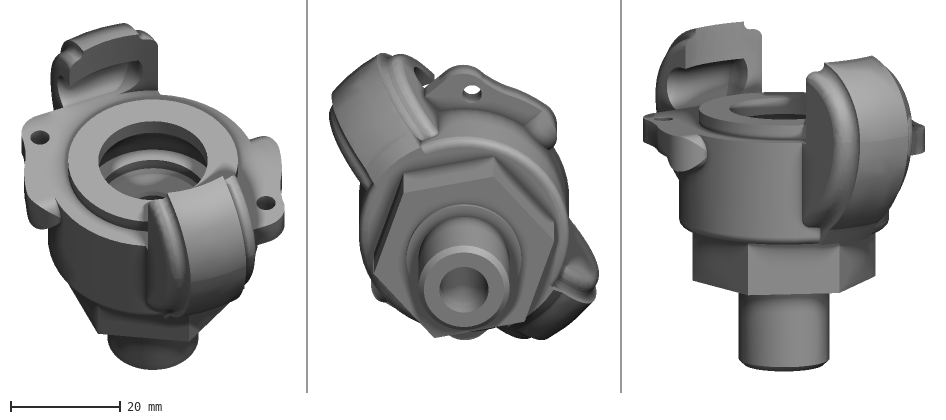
import cadquery as cq
import math

collar_bottom = 15.05
hex_bottom = 15.85
body_bottom = 25.75
body_top = 44.95
ring_top = 47.5

stem_diameter = 16.65
stem_chamfer = 1.0
collar_diameter = 21.0
hex_flats = 29.1
hex_corners = hex_flats / math.cos(math.radians(30))
body_diameter = 38.45
body_fillet = 1.55
ring_diameter = 31.0

hole_diameter = 9.0
hole_chamfer = 0.5
mouth_radius = 20.0 / 2
lip_bottom = 44.45
groove_bulge_radius = 12.25
groove_bulge_height = 40.7
groove_floor_radius = 12.9
groove_floor = 37.0
counterbore_radius = 20.5 / 2
counterbore_bottom = 34.85
floor_chamfer = 0.7

claw_radius = 30.95
claw_mid_height = 46.65
claw_upper_arc = 13.5
claw_lower_arc = 21.65
claw_recess_radius = 20.25
claw_root_radius = 19.4
claw_root_bend = 28.95
claw_width = 17.5
rib_width = 11.0
cheek_drop = 1.5
cheek_fillet = 1.8
rib_fillet = 1.25

channel_radius = 4.15
channel_offset = 19.8
channel_height = body_top + 3.9
channel_top = channel_height + channel_radius
channel_end_radius = 4.95
channel_end_band = 0.5
channel_end_axis = 21.8
channel_end_center = 1.25

lug_bottom = 40.55
lug_side = 21.05
lug_corner_radius = 4.9
lug_corner_end = 13.9
lug_hole_diameter = 3.5
lug_hole_offset = 15.7
lug_span = 47.0
hollow_flank_middle = (-13.0, -19.75)
flank_bend = (-9.7, -21.4)
swelling_flank_middle = (-6.8, -22.6)
tip_radius = 4.95
tip_center = (-2.9, tip_radius - lug_span / 2)
tip_start = -3.95
tip_exit = 2.05
nub_radius = 3.3
nub_offset = 1.25


def cylinder(diameter, bottom, top):
    return cq.Workplane("XY").workplane(offset=bottom).circle(diameter / 2).extrude(top - bottom)


def both_sides(shape):
    """The shape together with its copy turned half a turn about Z."""
    return shape.union(shape.rotate((0, 0, 0), (0, 0, 1), 180))


def make_core():
    stem = cylinder(stem_diameter, 0, body_bottom).faces("<Z").chamfer(stem_chamfer)
    collar = cylinder(collar_diameter, collar_bottom, hex_bottom)
    nut = (
        cq.Workplane("XY")
        .workplane(offset=hex_bottom)
        .polygon(6, hex_corners)
        .extrude(body_bottom - hex_bottom)
    )
    body = cylinder(body_diameter, body_bottom, body_top).faces("<Z").edges().fillet(body_fillet)
    ring = cylinder(ring_diameter, body_top, ring_top)
    return stem.union(collar).union(nut).union(body).union(ring)


def make_bore():
    hole_radius = hole_diameter / 2
    floor_radius = counterbore_radius - floor_chamfer
    floor = counterbore_bottom - floor_chamfer
    return (
        cq.Workplane("XZ")
        .moveTo(0, 0)
        .lineTo(hole_radius, 0)
        .lineTo(hole_radius, floor - hole_chamfer)
        .lineTo(hole_radius + hole_chamfer, floor)
        .lineTo(floor_radius, floor)
        .lineTo(counterbore_radius, counterbore_bottom)
        .lineTo(counterbore_radius, groove_floor)
        .lineTo(groove_floor_radius, groove_floor)
        .threePointArc((groove_bulge_radius, groove_bulge_height), (mouth_radius, lip_bottom))
        .lineTo(mouth_radius, ring_top)
        .lineTo(0, ring_top)
        .close()
        .revolve(360, (0, 0, 0), (0, 1, 0))
    )


def claw_arc_point(radius, center_r, angle):
    """Point of a claw arc; the angle is measured up from the horizontal."""
    turn = math.radians(angle)
    return (center_r + radius * math.cos(turn), claw_mid_height + radius * math.sin(turn))


def claw_radius_at(height, drop):
    """Distance of the claw outline from the Z axis at a height, when lowered by drop."""
    arc = claw_upper_arc if height > claw_mid_height else claw_lower_arc
    rise = height - claw_mid_height
    return claw_radius - arc + math.sqrt((arc - drop) ** 2 - rise**2)


def claw_slab(drop, width, root):
    """Solid of revolution of the claw outline, lowered by drop and sliced to a width along Y."""
    upper = claw_upper_arc - drop
    lower = claw_lower_arc - drop
    upper_center = claw_radius - claw_upper_arc
    lower_center = claw_radius - claw_lower_arc
    lower_end = -math.degrees(math.asin((claw_mid_height - claw_root_bend) / lower))
    profile = (
        cq.Workplane("XZ")
        .moveTo(0, claw_mid_height + upper)
        .lineTo(upper_center, claw_mid_height + upper)
        .threePointArc(
            claw_arc_point(upper, upper_center, 45),
            claw_arc_point(upper, upper_center, 0),
        )
        .threePointArc(
            claw_arc_point(lower, lower_center, lower_end / 2),
            claw_arc_point(lower, lower_center, lower_end),
        )
    )
    for point in root:
        profile = profile.lineTo(*point)
    slab = cq.Workplane("XY").box(4 * claw_radius, width, 4 * claw_radius)
    return profile.close().revolve(360, (0, 0, 0), (0, 1, 0)).intersect(slab)


def is_rib_foot(edge):
    """True for the curved edges where a cheek meets the side of the rib."""
    tolerance = 0.005
    middle = edge.positionAt(0.5)
    if abs(abs(middle.y) - rib_width / 2) > tolerance or middle.z < claw_root_bend:
        return False
    from_axis = math.hypot(middle.x, middle.y)
    return abs(from_axis - claw_radius_at(middle.z, cheek_drop)) < tolerance


def make_claws():
    cheeks = claw_slab(cheek_drop, claw_width, [(0, claw_root_bend)])
    cheeks = cheeks.faces("<Y or >Y").edges("not %LINE").fillet(cheek_fillet)
    rib = claw_slab(0, rib_width, [(claw_root_radius, body_bottom), (0, body_bottom)])
    recess = cylinder(2 * claw_recess_radius, body_top, 2 * body_top)
    claws = cheeks.union(rib)
    rib_feet = [edge for edge in claws.edges("not %LINE").vals() if is_rib_foot(edge)]
    return claws.newObject(rib_feet).fillet(rib_fillet).cut(recess)


def channel_end_profile():
    """Half profile of the ball-like channel end, about the upright axis of the ball."""
    lower_center = body_top + channel_end_radius
    upper_center = lower_center + channel_end_band
    slant = channel_end_radius * math.sqrt(0.5)
    half_rise = (channel_top - upper_center) / 2
    half_reach = math.sqrt(channel_end_radius**2 - half_rise**2)
    top_reach = math.sqrt(channel_end_radius**2 - (2 * half_rise) ** 2)
    return (
        cq.Workplane("YZ", origin=(-channel_end_axis, channel_end_center, 0))
        .moveTo(0, body_top)
        .threePointArc((slant, lower_center - slant), (channel_end_radius, lower_center))
        .lineTo(channel_end_radius, upper_center)
        .threePointArc((half_reach, upper_center + half_rise), (top_reach, channel_top))
        .lineTo(0, channel_top)
        .close()
    )


def make_channel():
    """Channel of the -X claw: open at the -Y cheek and towards the axis, with a ball-like inner end."""
    section = (
        cq.Workplane("XZ", origin=(-channel_offset, claw_width, channel_height))
        .moveTo(0, channel_radius)
        .threePointArc((-channel_radius, 0), (0, -channel_radius))
        .lineTo(channel_offset, -channel_radius)
        .lineTo(channel_offset, channel_radius)
        .close()
        .extrude(2 * claw_width)
    )
    run = (
        cq.Workplane("XY", origin=(-claw_radius, channel_end_center - claw_width, body_top))
        .box(claw_radius, claw_width, channel_top - body_top, centered=False)
    )
    straight_end = channel_end_profile().extrude(channel_end_axis)
    ball_end = channel_end_profile().revolve(360, (0, 0, 0), (0, 1, 0))
    return run.union(straight_end).union(ball_end).intersect(section)


def lug_outline(bottom):
    """Plan of the -Y lug: rounded corner, hollow flank, swelling flank, round tip."""
    corner_center = (-lug_side + lug_corner_radius, -lug_corner_end)
    diagonal = lug_corner_radius * math.sqrt(0.5)
    tip_x, tip_y = tip_center
    start_y = tip_y - math.sqrt(tip_radius**2 - (tip_start - tip_x) ** 2)
    exit_y = tip_y - math.sqrt(tip_radius**2 - (tip_exit - tip_x) ** 2)
    return (
        cq.Workplane("XY")
        .workplane(offset=bottom)
        .moveTo(0, 0)
        .lineTo(-lug_side, 0)
        .lineTo(-lug_side, -lug_corner_end)
        .threePointArc(
            (corner_center[0] - diagonal, corner_center[1] - diagonal),
            (corner_center[0], corner_center[1] - lug_corner_radius),
        )
        .threePointArc(hollow_flank_middle, flank_bend)
        .threePointArc(swelling_flank_middle, (tip_start, start_y))
        .threePointArc(
            (tip_x + tip_radius * math.sin(math.pi / 4), tip_y - tip_radius * math.cos(math.pi / 4)),
            (tip_exit, exit_y),
        )
        .close()
    )


def make_lug():
    """-Y lug: a flat flange that ends in a deeper round nub lying along Y."""
    flange = lug_outline(lug_bottom).extrude(body_top - lug_bottom)
    nub_height = body_top - nub_radius
    tangent = nub_radius * math.sqrt(0.5)
    ramp_rise = lug_bottom - (nub_height - tangent)
    ramp_end = -tangent - ramp_rise
    nub_bar = (
        cq.Workplane("XZ", origin=(-nub_offset, 0, nub_height))
        .moveTo(-tangent, -tangent)
        .threePointArc((tangent, -tangent), (0, nub_radius))
        .lineTo(ramp_end, nub_radius)
        .lineTo(ramp_end, lug_bottom - nub_height)
        .close()
        .extrude(claw_radius)
    )
    nub = lug_outline(nub_height - nub_radius).extrude(2 * nub_radius).intersect(nub_bar)
    beyond_nub = (
        cq.Workplane("XY", origin=(-nub_offset, -lug_span, 0))
        .box(lug_span, lug_span, body_top, centered=False)
    )
    return flange.cut(beyond_nub).union(nub)


def make_lug_hole():
    return cylinder(lug_hole_diameter, lug_bottom, body_top).translate(
        (-lug_hole_offset, -lug_hole_offset, 0)
    )


result = (
    make_core()
    .union(make_claws().cut(both_sides(make_channel())))
    .union(both_sides(make_lug()))
    .cut(both_sides(make_lug_hole()))
    .cut(make_bore())
)